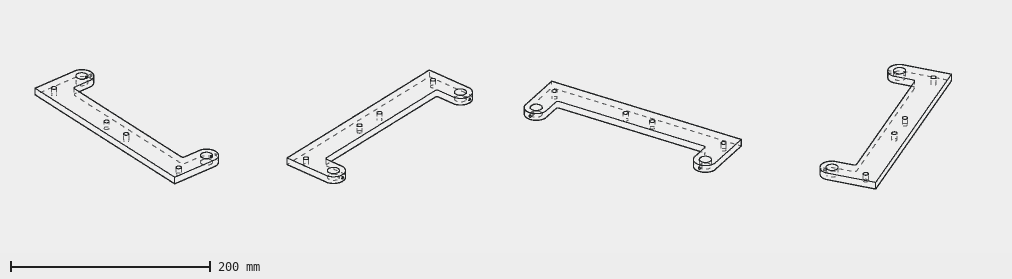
import cadquery as cq
import math

length = 220.0
depth = 63.1
thickness = 8.0

bar_depth = 30.0
lug_width = 23.8
lug_radius = 12.0
corner_radius = 2.5

lug_hole_diameter = 12.0
bolt_hole_diameter = 5.3
tip_hole_diameter = 2.5
bolt_hole_y = 15.0
inner_hole_x = 15.5

lug_center_x = (length - lug_width) / 2
lug_center_y = depth - lug_radius
arc_end_y = lug_center_y + math.sqrt(lug_radius**2 - (lug_width / 2) ** 2)


def make_lug(side):
    """Round-ended lug on the left (side = -1) or right (side = 1) end.

    The end arc is slightly wider than the lug, so it meets the straight sides at a shallow corner.
    """
    outer_x = side * length / 2
    inner_x = outer_x - side * lug_width
    center_x = side * lug_center_x
    return (
        cq.Workplane("XY")
        .moveTo(outer_x, 0)
        .lineTo(outer_x, arc_end_y)
        .threePointArc((center_x, depth), (inner_x, arc_end_y))
        .lineTo(inner_x, 0)
        .close()
        .extrude(thickness)
    )


bar = cq.Workplane("XY").box(length, bar_depth, thickness, centered=(True, False, False))
plate = bar.union(make_lug(-1)).union(make_lug(1))

inner_corner_x = length / 2 - lug_width
for side in (-1, 1):
    corner = cq.selectors.NearestToPointSelector((side * inner_corner_x, bar_depth, thickness / 2))
    plate = plate.edges("|Z").edges(corner).fillet(corner_radius)

bolt_points = [(x, bolt_hole_y) for x in (-lug_center_x, -inner_hole_x, inner_hole_x, lug_center_x)]
lug_points = [(side * lug_center_x, lug_center_y) for side in (-1, 1)]
bolt_holes = cq.Workplane("XY").pushPoints(bolt_points).circle(bolt_hole_diameter / 2).extrude(thickness)
lug_holes = cq.Workplane("XY").pushPoints(lug_points).circle(lug_hole_diameter / 2).extrude(thickness)

plate = plate.cut(bolt_holes).cut(lug_holes)

for side in (-1, 1):
    tip_hole = (
        cq.Workplane("XZ", origin=(side * lug_center_x, depth, thickness / 2))
        .circle(tip_hole_diameter / 2)
        .extrude(lug_radius)
    )
    plate = plate.cut(tip_hole)

result = plate